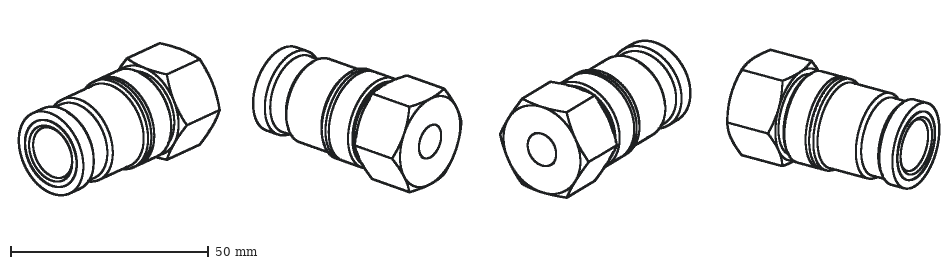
import cadquery as cq
import math

length = 49.0

hex_flats = 24.0
hex_start = 34.65
hex_length = length - hex_start
hex_corner_radius = hex_flats / math.sqrt(3)
hex_chamfer_radius = hex_flats / 2
hex_chamfer_height = (hex_corner_radius - hex_chamfer_radius) * math.tan(math.radians(30))

face_radius = 8.95
body_radius = 11.2
waist_radius = 10.25
collar_radius = hex_flats / 2
neck_radius = 10.55

face_step = 0.15
lip_end = 4.0
waist_start = lip_end + body_radius - waist_radius
body_start = 11.05
waist_end = body_start - (body_radius - waist_radius)
collar_chamfer = collar_radius - body_radius
ring_start = 23.3
groove_center = 25.1
groove_radius = 0.55
collar_end = 32.75

bore_radius = 4.45
socket_radius = 6.75
socket_depth = 24.5
socket_chamfer = 0.75


def turned_body():
    """Revolve the stepped outside of the body about the Y axis."""
    profile = [
        (0, 0),
        (face_radius, 0),
        (face_radius, face_step),
        (body_radius, face_step),
        (body_radius, lip_end),
        (waist_radius, waist_start),
        (waist_radius, waist_end),
        (body_radius, body_start),
        (body_radius, ring_start - collar_chamfer),
        (collar_radius, ring_start),
        (collar_radius, collar_end - collar_chamfer),
        (body_radius, collar_end),
        (neck_radius, collar_end),
        (neck_radius, hex_start),
        (0, hex_start),
    ]
    return cq.Workplane("XY").polyline(profile).close().revolve(360, (0, 0), (0, 1))


def collar_groove():
    """Ring cutter for the groove around the collar, with a half-round bottom."""
    round_center = body_radius + groove_radius
    return (
        cq.Workplane("XY")
        .moveTo(hex_corner_radius, groove_center - groove_radius)
        .lineTo(round_center, groove_center - groove_radius)
        .threePointArc((body_radius, groove_center), (round_center, groove_center + groove_radius))
        .lineTo(hex_corner_radius, groove_center + groove_radius)
        .close()
        .revolve(360, (0, 0), (0, 1))
    )


def hex_nut():
    """Hexagon with corners on X, trimmed by a cone at both ends."""
    prism = (
        cq.Workplane("XZ", origin=(0, hex_start, 0))
        .polygon(6, 2 * hex_corner_radius)
        .extrude(-hex_length)
    )
    trim = [
        (0, hex_start),
        (hex_chamfer_radius, hex_start),
        (hex_corner_radius, hex_start + hex_chamfer_height),
        (hex_corner_radius, length - hex_chamfer_height),
        (hex_chamfer_radius, length),
        (0, length),
    ]
    envelope = cq.Workplane("XY").polyline(trim).close().revolve(360, (0, 0), (0, 1))
    return prism.intersect(envelope)


def stepped_bore():
    """Through bore with a wider, chamfered socket at the mouth."""
    profile = [
        (0, 0),
        (socket_radius + socket_chamfer, 0),
        (socket_radius, socket_chamfer),
        (socket_radius, socket_depth),
        (bore_radius, socket_depth),
        (bore_radius, length),
        (0, length),
    ]
    return cq.Workplane("XY").polyline(profile).close().revolve(360, (0, 0), (0, 1))


result = turned_body().cut(collar_groove()).union(hex_nut()).cut(stepped_bore())